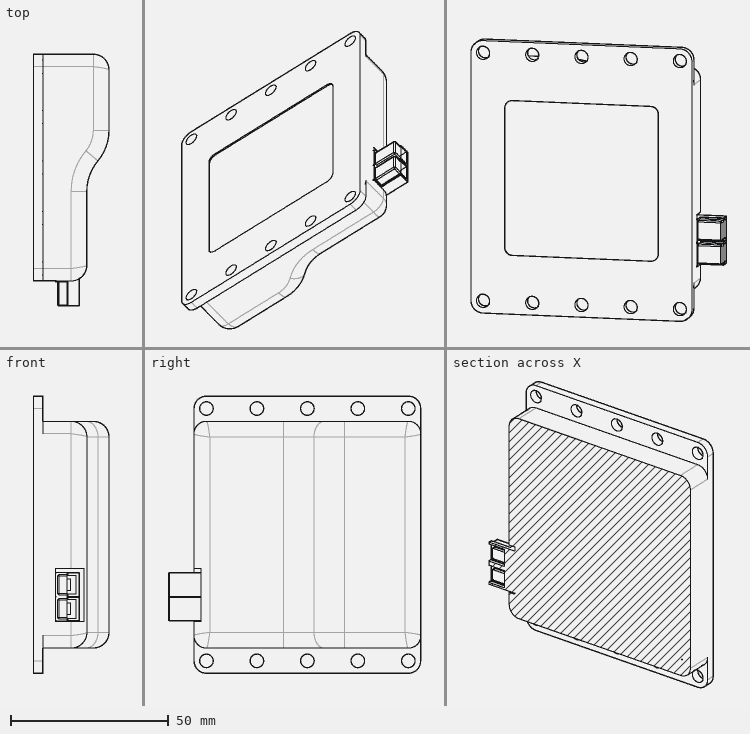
import cadquery as cq
import math


plate_height = 88.0
case_width = 72.0
plate_thickness = 3.0
corner_radius = 4.0

hole_diameter = 4.2
holes_per_row = 5
hole_inset = corner_radius

recess_side = 50.0
recess_corner_radius = 2.5
recess_depth = 0.4

case_height = 72.0
deep_case_depth = 24.0
low_case_depth = 17.0
step_radius = 15.0
step_center_y = 2.1
front_fillet = 5.0

seam_x = 7.0
pocket_end_x = 16.1
pocket_top_z = -10.7
pocket_bottom_z = -27.5
pocket_depth = 2.2

connector_reach = 8.0
housing_height = 7.7
base_reach = 0.3
root_overlap = 0.4
connector_center_z = -19.7
hood_start_x = 10.7
hood_end_x = 14.6
housing_chamfer = 0.2
tongue_start_x = 7.7
tongue_height = 6.4
tongue_chamfer = 0.4
socket_end_x = 13.55
socket_height = 6.0
socket_depth = 6.2
contact_thickness = 1.1
contact_height = 3.7
contact_setback = 1.3

case_side_y = case_width / 2
pocket_floor_y = -case_side_y + pocket_depth
base_tip_y = -case_side_y - base_reach
connector_tip_y = -case_side_y - connector_reach


def block(x_range, y_range, z_range):
    """Axis-aligned box between the given limits."""
    sizes = [high - low for low, high in (x_range, y_range, z_range)]
    corner = (x_range[0], y_range[0], z_range[0])
    return cq.Workplane("XY").box(*sizes, centered=False).translate(corner)


def make_plate():
    plate = block(
        (0, plate_thickness),
        (-case_side_y, case_side_y),
        (-plate_height / 2, plate_height / 2),
    )
    return plate.edges("|X").fillet(corner_radius)


def make_case():
    """Rounded case whose front steps down through two equal tangent arcs."""
    step = deep_case_depth - low_case_depth
    step_angle = math.acos(1 - step / 2 / step_radius)
    step_half_width = step_radius * math.sin(step_angle)
    arc_x_offset = step_radius * (1 - math.cos(step_angle / 2))
    arc_y_offset = step_half_width - step_radius * math.sin(step_angle / 2)
    mid_depth = (deep_case_depth + low_case_depth) / 2
    step_start_y = step_center_y - step_half_width
    step_end_y = step_center_y + step_half_width
    case = (
        cq.Workplane("XY", origin=(0, 0, -case_height / 2))
        .moveTo(0, -case_side_y)
        .lineTo(low_case_depth, -case_side_y)
        .lineTo(low_case_depth, step_start_y)
        .threePointArc(
            (low_case_depth + arc_x_offset, step_center_y - arc_y_offset),
            (mid_depth, step_center_y),
        )
        .threePointArc(
            (deep_case_depth - arc_x_offset, step_center_y + arc_y_offset),
            (deep_case_depth, step_end_y),
        )
        .lineTo(deep_case_depth, case_side_y)
        .lineTo(0, case_side_y)
        .close()
        .extrude(case_height)
    )
    case = case.edges("|X").fillet(corner_radius)
    return case.faces(">X").edges().fillet(front_fillet)


def mounting_holes():
    column_pitch = (case_width - 2 * hole_inset) / (holes_per_row - 1)
    row_pitch = plate_height - 2 * hole_inset
    return (
        cq.Workplane("YZ")
        .rarray(column_pitch, row_pitch, holes_per_row, 2)
        .circle(hole_diameter / 2)
        .extrude(plate_thickness)
    )


def mounting_face_recess():
    recess = cq.Workplane("YZ").rect(recess_side, recess_side).extrude(recess_depth)
    return recess.edges("|X").fillet(recess_corner_radius)


def connector_pocket():
    return block(
        (seam_x, pocket_end_x),
        (-case_side_y, pocket_floor_y),
        (pocket_bottom_z, pocket_top_z),
    )


def make_housing(center_z):
    """Base in the pocket, open hood with a contact blade, and the tongue in front of the hood."""

    def centered(height):
        return (center_z - height / 2, center_z + height / 2)

    root_y = pocket_floor_y + root_overlap
    base = block((seam_x, hood_end_x), (base_tip_y, root_y), centered(housing_height))
    base = base.edges("|Y").chamfer(housing_chamfer)

    hood = block((hood_start_x, hood_end_x), (connector_tip_y, -case_side_y), centered(housing_height))
    hood = hood.edges("not >Y").chamfer(housing_chamfer)
    socket = block(
        (hood_start_x, socket_end_x),
        (connector_tip_y, connector_tip_y + socket_depth),
        centered(socket_height),
    )
    contact = block(
        (hood_start_x, hood_start_x + contact_thickness),
        (connector_tip_y + contact_setback, -case_side_y),
        centered(contact_height),
    )

    tongue = block((tongue_start_x, hood_start_x), (connector_tip_y, -case_side_y), centered(tongue_height))
    tongue = tongue.faces("<X or <Y").edges("not (>X or >Y)").chamfer(tongue_chamfer)
    return base.union(hood.cut(socket)).union(contact).union(tongue)


result = make_plate().union(make_case())
result = result.cut(mounting_holes()).cut(mounting_face_recess()).cut(connector_pocket())
for side in (-1, 1):
    result = result.union(make_housing(connector_center_z + side * housing_height / 2))